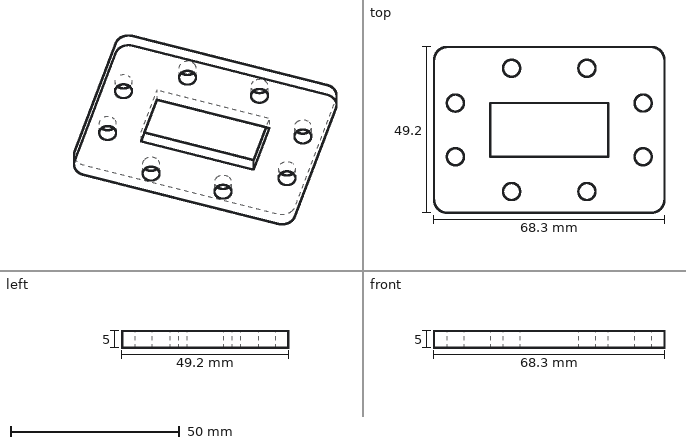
import cadquery as cq

length = 68.3
width = 49.2
thickness = 5.0
corner_radius = 4.0

window_length = 34.85
window_width = 15.8

hole_diameter = 5.0
long_edge_spacing = 22.3
long_edge_row_distance = 36.5
short_edge_spacing = 15.9
short_edge_row_distance = 55.6


def make_flange():
    """Flat flange with rounded corners, a central window and bolt holes."""
    plate = (
        cq.Workplane("XY")
        .rect(length, width)
        .extrude(thickness)
        .edges("|Z")
        .fillet(corner_radius)
    )
    with_window = plate.faces(">Z").workplane().rect(window_length, window_width).cutThruAll()
    with_long_edge_holes = cut_hole_group(with_window, long_edge_spacing, long_edge_row_distance)
    return cut_hole_group(with_long_edge_holes, short_edge_row_distance, short_edge_spacing)


def cut_hole_group(plate, x_distance, y_distance):
    """Drill four through holes at the corners of a centred rectangle."""
    return (
        plate.faces(">Z")
        .workplane(origin=(0, 0, thickness))
        .rect(x_distance, y_distance, forConstruction=True)
        .vertices()
        .hole(hole_diameter)
    )


flange = make_flange()

result = cq.Compound.makeCompound([flange.val()])